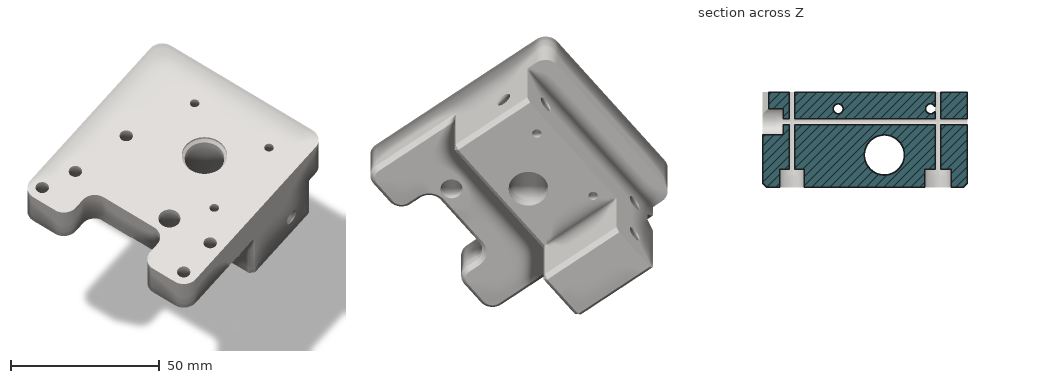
import cadquery as cq

plate_width = 69.0
plate_length = 78.0
plate_thickness = 15.0
corner_radius = 5.0
edge_chamfer = 1.5

arm_width = 19.0
slot_depth = 14.0

block_back = 69.15
block_thickness = 32.0
block_front = block_back - block_thickness
leg_width = 20.0
leg_bottom = -55.0
wing_bottom = -35.0

motor_center = (41.0, 48.0)
motor_screw_spacing = 31.0
motor_screw_diameter = 3.2
motor_screw_corners = [(-1, 1), (1, 1), (1, -1)]
bore_diameter = 13.3
recess_diameter = 15.2
recess_depth = 0.8

access_hole_diameter = 7.4
access_hole_center = (47.0, 20.0)
blind_hole_diameter = 4.5
blind_hole_depth = 12.0
blind_hole_centers = [(5.0, 5.0), (64.0, 5.0), (64.0, 20.0), (10.0, 17.0), (15.0, 39.0)]

screw_diameter = 5.3
leg_head_diameter = 9.5
wide_head_diameter = 10.0
screw_edge_distance = 10.0
upper_screw_z = -25.0
lower_screw_z = -45.0
front_head_depth = 6.0
side_screw_y = block_back - screw_edge_distance
side_head_depth = 7.0

groove_depth = 3.0
groove_floor_width = 3.2
groove_mouth_width = groove_floor_width + 2 * groove_depth

selection_margin = 0.1


def make_plate():
    slot_right = plate_width - arm_width
    return (
        cq.Workplane("XY")
        .polyline(
            [
                (0, 0),
                (arm_width, 0),
                (arm_width, slot_depth),
                (slot_right, slot_depth),
                (slot_right, 0),
                (plate_width, 0),
                (plate_width, plate_length),
                (0, plate_length),
            ]
        )
        .close()
        .extrude(-plate_thickness)
        .edges("|Z")
        .fillet(corner_radius)
    )


def make_block():
    block_top = -plate_thickness / 2
    return (
        cq.Workplane("XZ", origin=(0, block_front, 0))
        .polyline(
            [
                (0, block_top),
                (0, leg_bottom),
                (leg_width, leg_bottom),
                (leg_width, wing_bottom),
                (plate_width, wing_bottom),
                (plate_width, block_top),
            ]
        )
        .close()
        .extrude(-block_thickness)
    )


def chamfer_lower_edges(body):
    """Chamfer the outer edges under the front of the plate and around the block."""
    lower_edges = cq.selectors.BoxSelector(
        (-selection_margin, -selection_margin, leg_bottom - selection_margin),
        (
            plate_width + selection_margin,
            block_back - selection_margin,
            -plate_thickness + selection_margin,
        ),
    )
    plate_inner_corner = cq.selectors.NearestToPointSelector(
        (plate_width / 2, block_front, -plate_thickness)
    )
    wing_inner_corner = cq.selectors.NearestToPointSelector(
        (leg_width, (block_front + block_back) / 2, wing_bottom)
    )
    chamfered_edges = lower_edges - plate_inner_corner - wing_inner_corner
    return body.edges(chamfered_edges).chamfer(edge_chamfer)


def vertical_hole(center, diameter, depth):
    return cq.Workplane("XY").center(*center).circle(diameter / 2).extrude(-depth)


def counterbored_hole(plane, origin, head_diameter, head_depth, length):
    """Screw hole running from origin against the plane normal, with a head recess."""
    start = cq.Workplane(plane, origin=origin)
    screw = start.circle(screw_diameter / 2).extrude(-length)
    head = start.circle(head_diameter / 2).extrude(-head_depth)
    return screw.union(head)


def cut_motor_mount(body):
    through_depth = -leg_bottom
    taper_depth = (recess_diameter - bore_diameter) / 2
    taper_end = recess_depth + taper_depth
    stepped_bore = (
        cq.Workplane("XZ")
        .polyline(
            [
                (0, 0),
                (recess_diameter / 2, 0),
                (recess_diameter / 2, -recess_depth),
                (bore_diameter / 2, -taper_end),
                (bore_diameter / 2, -through_depth),
                (0, -through_depth),
            ]
        )
        .close()
        .revolve(360, (0, 0), (0, 1))
        .translate((*motor_center, 0))
    )
    body = body.cut(stepped_bore)
    for side_x, side_y in motor_screw_corners:
        screw_center = (
            motor_center[0] + side_x * motor_screw_spacing / 2,
            motor_center[1] + side_y * motor_screw_spacing / 2,
        )
        body = body.cut(vertical_hole(screw_center, motor_screw_diameter, through_depth))
    return body


def cut_plate_holes(body):
    body = body.cut(vertical_hole(access_hole_center, access_hole_diameter, plate_thickness))
    for center in blind_hole_centers:
        body = body.cut(vertical_hole(center, blind_hole_diameter, blind_hole_depth))
    return body


def cut_front_screws(body):
    wing_screw_x = plate_width - screw_edge_distance
    front_screws = [
        (screw_edge_distance, upper_screw_z, leg_head_diameter),
        (screw_edge_distance, lower_screw_z, leg_head_diameter),
        (wing_screw_x, upper_screw_z, wide_head_diameter),
    ]
    for x, z, head_diameter in front_screws:
        body = body.cut(
            counterbored_hole(
                "XZ", (x, block_front, z), head_diameter, front_head_depth, block_thickness
            )
        )
    return body


def cut_side_screw(body):
    screw = counterbored_hole(
        "ZY", (0, side_screw_y, upper_screw_z), wide_head_diameter, side_head_depth, plate_width
    )
    groove = (
        cq.Workplane("XZ", origin=(0, side_screw_y, upper_screw_z))
        .polyline(
            [
                (0, -groove_mouth_width / 2),
                (groove_depth, -groove_floor_width / 2),
                (groove_depth, groove_floor_width / 2),
                (0, groove_mouth_width / 2),
            ]
        )
        .close()
        .extrude(side_screw_y - block_back)
    )
    return body.cut(screw).cut(groove)


result = make_plate().union(make_block()).clean()
result = chamfer_lower_edges(result)
result = cut_motor_mount(result)
result = cut_plate_holes(result)
result = cut_front_screws(result)
result = cut_side_screw(result)